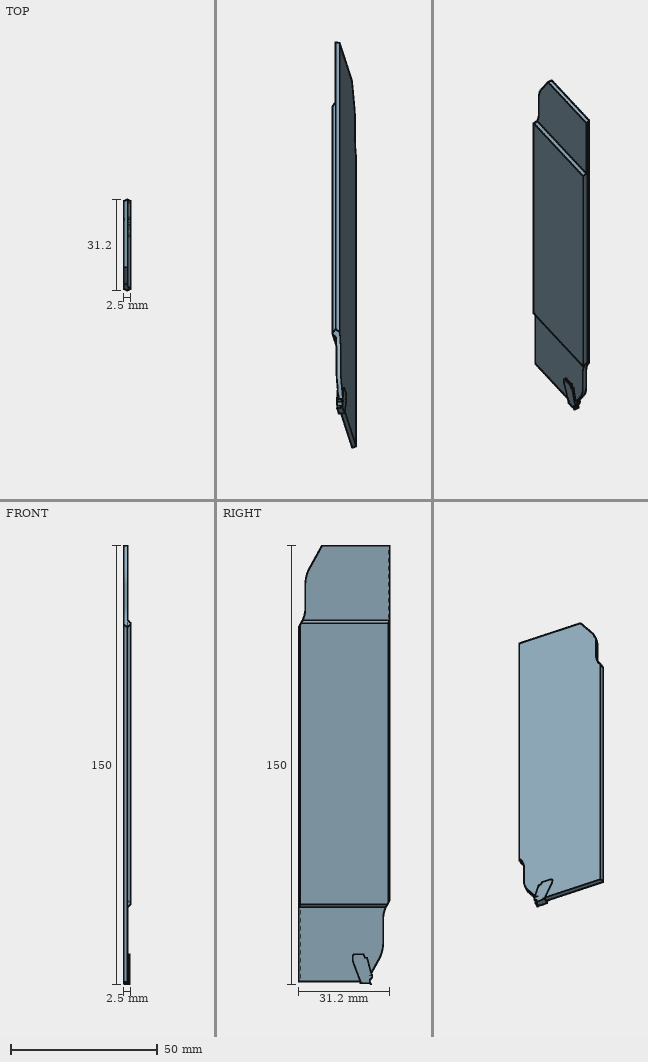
import cadquery as cq

blade_thickness = 2.5
blade_width = 31.2
blade_bottom = 0.9
blade_top = 150.0
edge_bevel = 0.6
mid_width = blade_width / 2
mid_height = (blade_bottom + blade_top) / 2

end_thickness = 1.5
thin_end_top = 26.4
ramp_height = 1.0

neck_width = 29.0
shoulder_z = 28.8
shoulder_base = (29.8, 26.4)
shoulder_blend = (29.1, 24.0)
neck_top = 21.5
neck_bottom = 13.6
neck_blend = (28.6, 11.5)
flank_top = (27.9, 9.3)
flank_foot_y = 23.2

insert_thickness = 2.1
insert_heel = (21.2, blade_bottom)
insert_back_bottom = (18.5, 8.1)
insert_back_top = (18.5, 9.8)
insert_top_back = (18.9, 10.2)
insert_top_front = (22.2, 10.2)
insert_step = (22.6, 9.2)
insert_front_top = (23.4, 9.2)
insert_front_foot = (24.8, 3.9)
rake_top = (25.2, 3.2)
rake_bulge = (25.2, 2.4)
rake_hollow = (24.3, 1.4)
cutting_lip = (24.5, 0.5)
cutting_tip = (24.8, 0.0)
tip_heel = (24.5, 0.3)
sole_heel = (21.2, 0.3)

relief_depth = 0.5
relief_reach = 4.5
relief_front = (25.5, 3.2)
relief_corner = (23.8, 3.2)
relief_heel = (21.8, 0.9)
relief_heel_bottom = (21.8, -0.2)
relief_front_bottom = (25.5, -0.2)


def opposite(point):
    """Turn a (Y, Z) point half a turn about the middle of the blade."""
    y, z = point
    return (2 * mid_width - y, 2 * mid_height - z)


def draw_relieved_corner(sketch, place):
    """Draw from the long edge down to the blade end, with each point mapped by place."""
    return (
        sketch
        .lineTo(*place((blade_width, shoulder_z)))
        .lineTo(*place(shoulder_base))
        .threePointArc(place(shoulder_blend), place((neck_width, neck_top)))
        .lineTo(*place((neck_width, neck_bottom)))
        .threePointArc(place(neck_blend), place(flank_top))
        .lineTo(*place((flank_foot_y, blade_bottom)))
    )


def make_bevelled_bar():
    ridge_x = blade_thickness / 2
    section = [
        (0, edge_bevel),
        (ridge_x, 0),
        (blade_thickness, edge_bevel),
        (blade_thickness, blade_width - edge_bevel),
        (ridge_x, blade_width),
        (0, blade_width - edge_bevel),
    ]
    return (
        cq.Workplane("XY", origin=(0, 0, blade_bottom))
        .polyline(section).close().extrude(blade_top - blade_bottom)
    )


def make_outline_plate():
    sketch = cq.Workplane("YZ").moveTo(blade_width, blade_top)
    sketch = draw_relieved_corner(sketch, lambda point: point)
    sketch = sketch.lineTo(0, blade_bottom)
    sketch = draw_relieved_corner(sketch, opposite)
    return sketch.close().extrude(blade_thickness)


def make_side_profile():
    """Thickness profile of the blade with its thinned ends."""
    ramp_top = thin_end_top + ramp_height
    profile = [
        (0, blade_bottom),
        (end_thickness, blade_bottom),
        (end_thickness, thin_end_top),
        (blade_thickness, ramp_top),
        (blade_thickness, 2 * mid_height - ramp_top),
        (end_thickness, 2 * mid_height - thin_end_top),
        (end_thickness, blade_top),
        (0, blade_top),
    ]
    return cq.Workplane("XZ").polyline(profile).close().extrude(-blade_width)


def make_insert_blank():
    return (
        cq.Workplane("YZ").moveTo(*insert_heel)
        .lineTo(*insert_back_bottom)
        .lineTo(*insert_back_top)
        .lineTo(*insert_top_back)
        .lineTo(*insert_top_front)
        .lineTo(*insert_step)
        .lineTo(*insert_front_top)
        .lineTo(*insert_front_foot)
        .lineTo(*rake_top)
        .lineTo(*rake_bulge)
        .lineTo(*rake_hollow)
        .lineTo(*cutting_lip)
        .lineTo(*cutting_tip)
        .lineTo(*tip_heel)
        .lineTo(*sole_heel)
        .close().extrude(insert_thickness)
    )


def make_insert(blank):
    patch = (
        cq.Workplane("YZ")
        .polyline([relief_front, relief_corner, relief_heel, relief_heel_bottom, relief_front_bottom])
        .close().extrude(relief_depth)
    )
    hinge_y = relief_corner[0] - relief_heel[0]
    hinge_z = relief_corner[1] - relief_heel[1]
    hinge_plane = cq.Plane(
        origin=(0, *relief_heel), xDir=(0, hinge_z, -hinge_y), normal=(0, -hinge_y, -hinge_z)
    )
    wedge = (
        cq.Workplane(hinge_plane)
        .polyline([(0, 0), (relief_reach, 0), (relief_reach, relief_depth)])
        .close().extrude(relief_reach, both=True)
    )
    return blank.cut(patch.intersect(wedge))


insert_blank = make_insert_blank()
blade = (
    make_bevelled_bar()
    .intersect(make_outline_plate())
    .intersect(make_side_profile())
    .cut(insert_blank)
)
insert = make_insert(insert_blank)

result = cq.Compound.makeCompound([blade.val(), insert.val()])